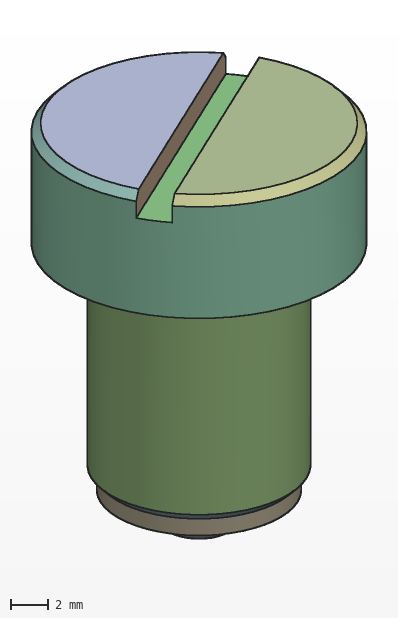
import cadquery as cq
import math

head_diameter = 18.0
head_height = 7.2
head_chamfer = 0.5

slot_width = 2.0
slot_depth = 1.5

shank_diameter = 12.0
collar_diameter = 11.0
collar_height = 1.0
shank_chamfer = (shank_diameter - collar_diameter) / 2

body_length = 22.0

ball_diameter = 8.0
ball_protrusion = 2.5

collar_bottom = head_height - body_length
collar_top = collar_bottom + collar_height
tip = collar_bottom - ball_protrusion


def make_body():
    """Head, shank, collar and ball tip as one revolved profile."""
    head_radius = head_diameter / 2
    shank_radius = shank_diameter / 2
    collar_radius = collar_diameter / 2
    ball_radius = ball_diameter / 2
    ball_center = tip + ball_radius
    ball_edge_radius = math.sqrt(ball_radius**2 - (ball_center - collar_bottom) ** 2)
    half_angle = math.asin(ball_edge_radius / ball_radius) / 2
    arc_middle = (
        ball_radius * math.sin(half_angle),
        ball_center - ball_radius * math.cos(half_angle),
    )
    profile = (
        cq.Workplane("XZ")
        .moveTo(0, tip)
        .threePointArc(arc_middle, (ball_edge_radius, collar_bottom))
        .lineTo(collar_radius, collar_bottom)
        .lineTo(collar_radius, collar_top)
        .lineTo(shank_radius, collar_top + shank_chamfer)
        .lineTo(shank_radius, 0)
        .lineTo(head_radius, 0)
        .lineTo(head_radius, head_height - head_chamfer)
        .lineTo(head_radius - head_chamfer, head_height)
        .lineTo(0, head_height)
        .close()
    )
    return profile.revolve(360, (0, 0, 0), (0, 1, 0))


def make_slot():
    """Block removed from the head to form the straight slot."""
    return (
        cq.Workplane("XY")
        .workplane(offset=head_height - slot_depth)
        .rect(slot_width, head_diameter)
        .extrude(slot_depth)
    )


result = make_body().cut(make_slot())